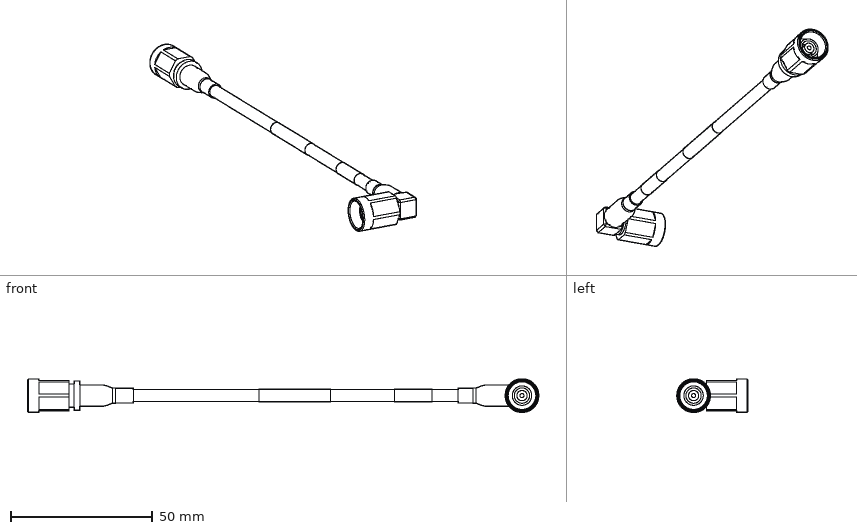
import cadquery as cq

LENGTH = 180.9
NUT_RADIUS = 6.0
ELBOW_X = LENGTH - NUT_RADIUS
ELBOW_MATING_Y = -19.2

NUT_LENGTH = 14.7
NUT_RIM_LENGTH = 4.0
NUT_FLAT_COUNT = 6
NUT_FLAT_APOTHEM = 5.5
NUT_BORE_RADIUS = 4.9
NUT_BORE_DEPTH = 7.2
NUT_MOUTH_CHAMFER = 0.4

NECK_RADIUS = 4.2
SHELL_RADIUS = 3.5
SHELL_BORE_RADIUS = 2.7
SHELL_START = 3.5
SHELL_FLOOR = 7.2
CONTACT_RADIUS = 1.8
CONTACT_BORE_RADIUS = 0.7

FLANGE_START = 16.5
FLANGE_END = 18.5
FLANGE_RADIUS = 5.2
STRAIGHT_BARREL_END = 26.8
STRAIGHT_FERRULE_END = 37.5

BLOCK_SIZE = 7.6
BLOCK_CHAMFER = 0.7
BLOCK_FACE_X = ELBOW_X - BLOCK_SIZE / 2
ELBOW_BARREL_END = 161.9
ELBOW_FERRULE_END = 152.3

BARREL_RADIUS = 3.8
TAPER_RADIUS = 3.5
TAPER_END = 0.8
COLLAR_RADIUS = 2.7
COLLAR_START = 1.8
COLLAR_STEP = 0.09
FERRULE_RADIUS = COLLAR_RADIUS - COLLAR_STEP
FERRULE_START = 2.4

CABLE_RADIUS = 2.2
MARKER_WALL = 0.09
MARKER_RADIUS = CABLE_RADIUS + MARKER_WALL
MARKER_SPANS = [(82.0, 107.1), (129.9, 143.1)]


def rod(start, end, radius):
    """Cylinder on the X axis between two X positions."""
    return cq.Workplane("YZ", origin=(start, 0, 0)).circle(radius).extrude(end - start)


def tube(start, end, radius, bore_radius):
    """Hollow cylinder on the X axis between two X positions."""
    return rod(start, end, radius).cut(rod(start, end, bore_radius))


def coupling_nut():
    """Nut with its open mouth at X = 0 and six flats behind a round rim."""
    bored = tube(0, NUT_LENGTH, NUT_RADIUS, SHELL_RADIUS).cut(rod(0, NUT_BORE_DEPTH, NUT_BORE_RADIUS))
    nut = bored.faces("<X").edges().chamfer(NUT_MOUTH_CHAMFER)
    outside_flats = (
        cq.Workplane("YZ", origin=(NUT_RIM_LENGTH, 0, 0))
        .circle(2 * NUT_RADIUS)
        .transformed(rotate=(0, 0, 180 / NUT_FLAT_COUNT))
        .polygon(NUT_FLAT_COUNT, 2 * NUT_FLAT_APOTHEM, circumscribed=True)
        .extrude(NUT_LENGTH - NUT_RIM_LENGTH)
    )
    return nut.cut(outside_flats)


def mating_end(end):
    """Shell through the nut with a contact tube inside, then a neck behind the nut to an X position."""
    back = rod(SHELL_FLOOR, NUT_LENGTH, SHELL_RADIUS)
    shell = tube(SHELL_START, SHELL_FLOOR, SHELL_RADIUS, SHELL_BORE_RADIUS)
    contact = tube(SHELL_START, SHELL_FLOOR, CONTACT_RADIUS, CONTACT_BORE_RADIUS)
    neck = rod(NUT_LENGTH, end, NECK_RADIUS)
    return back.union(shell).union(contact).union(neck)


def cable_end(barrel_start, barrel_end, ferrule_end):
    """Barrel, tapers, collar and ferrule bored for the cable; runs in either X direction."""
    out = 1.8 if barrel_end > barrel_start else -1.8
    taper_end = barrel_end + out * TAPER_END
    collar_start = barrel_end + out * COLLAR_START
    ferrule_start = barrel_end + out * FERRULE_START
    profile = [
        (barrel_start, CABLE_RADIUS),
        (barrel_start, BARREL_RADIUS),
        (barrel_end, BARREL_RADIUS),
        (taper_end, TAPER_RADIUS),
        (collar_start, COLLAR_RADIUS),
        (ferrule_start, COLLAR_RADIUS),
        (ferrule_start, FERRULE_RADIUS),
        (ferrule_end, FERRULE_RADIUS),
        (ferrule_end, CABLE_RADIUS),
    ]
    return cq.Workplane("XY").polyline(profile).close().revolve(360, (0, 0, 0), (1, 0, 0))


def to_elbow(body):
    """Turn a body from the X axis onto the mating axis of the elbow."""
    return body.rotate((0, 0, 0), (0, 0, 1), 90).translate((ELBOW_X, ELBOW_MATING_Y, 0))


def straight_connector():
    """Mating end, flange and barrel in one line."""
    flange = rod(FLANGE_START, FLANGE_END, FLANGE_RADIUS)
    tail = cable_end(FLANGE_END, STRAIGHT_BARREL_END, STRAIGHT_FERRULE_END)
    return mating_end(FLANGE_END).union(flange).union(tail)


def elbow_connector():
    """Chamfered corner block joining the mating end to the barrel at a right angle."""
    block = (
        cq.Workplane("XY", origin=(ELBOW_X, 0, 0))
        .box(BLOCK_SIZE, BLOCK_SIZE, BLOCK_SIZE)
        .edges()
        .chamfer(BLOCK_CHAMFER)
    )
    mating = to_elbow(mating_end(-ELBOW_MATING_Y - BLOCK_SIZE / 2))
    tail = cable_end(BLOCK_FACE_X, ELBOW_BARREL_END, ELBOW_FERRULE_END)
    return block.union(mating).union(tail)


def cable():
    """Round cable reaching through both barrels."""
    return rod(FLANGE_END, BLOCK_FACE_X, CABLE_RADIUS)


def marker_sleeve(start, end):
    """Thin sleeve around the cable."""
    return tube(start, end, MARKER_RADIUS, CABLE_RADIUS)


straight_nut = coupling_nut()
elbow_nut = to_elbow(coupling_nut())
markers = [marker_sleeve(start, end) for start, end in MARKER_SPANS]

result = cq.Compound.makeCompound(
    [
        straight_nut.val(),
        straight_connector().val(),
        elbow_nut.val(),
        elbow_connector().val(),
        cable().val(),
        *[marker.val() for marker in markers],
    ]
)